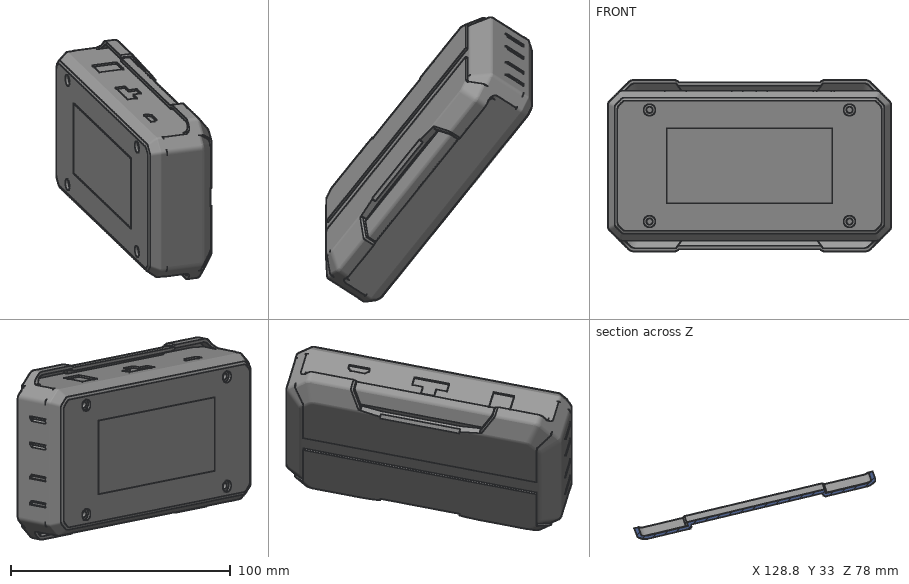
import cadquery as cq
import math

half_x = 64.4
half_z = 39.0
front_y = -16.5
back_y = 16.5
corner_sum = 93.0
corner_radius = 3.3
shoulder_radius = 1.7
back_radius = 2.0
far = 257.5

seam_y = -8.8
bezel_half_z = 34.0
bezel_radius = 1.9
bezel_edge_radius = 0.8
bezel_shoulder_y = -11.7
bezel_rim_y = -15.8
bezel_rim_inset = 3.1
bezel_face_inset = 4.4

slope_run = 1.25
pad_shoulder_y = 10.3
base_shoulder_y = 9.0
pad_height = 1.0
base_half_z = half_z - pad_height
base_back_y = back_y - pad_height
groove_half_z = 4.4

notch_mouth_x = 33.0
notch_inner_x = 27.8
notch_inner_z = 31.9
notch_floor_x = 18.5
notch_floor_z = 30.6
notch_shelf_y = 13.1
rim_bevel = 0.8
floor_bevel_y = 14.8
floor_bevel_z = 1.2
side_mouth_x = 60.0
side_mouth_z = 33.0
side_floor_x = 54.6
side_floor_z = 28.3

recess_half_z = bezel_half_z
lip_y = 4.8
recess_radius = 2.8
lip_wall = 1.5

screen_x, screen_z, screen_depth = 75.2, 34.1, 0.3
screw_x, screw_z = 45.5, 25.4
head_diameter, head_depth = 5.3, 1.5
screw_diameter, screw_depth = 2.8, 5.1

port_y = -7.1
port_depth = 0.9
power_left, power_right = -38.5, -28.8
plug_half_width, plug_top = 8.1, -2.5
latch_half_width, latch_top = 3.1, 1.4
usb_left, usb_right, usb_top, usb_corner = 29.0, 38.6, -3.7, 1.5

vent_edges = (20.5, 8.4)
vent_width = 2.0
vent_floor_width = 1.2
vent_end_y = 1.2
vent_corner = 1.4
vent_depth = 1.0


def octagon(y, half_height, inset=0.0, radius=corner_radius):
    """Face at depth y: octagon with rounded 45 degree corners, moved inward by inset."""
    x = half_x - inset
    z = half_height - inset
    total = corner_sum - inset * math.sqrt(2)
    points = [(x, total - x), (total - z, z), (z - total, z), (-x, total - x),
              (-x, x - total), (z - total, -z), (total - z, -z), (x, x - total)]
    sketch = cq.Sketch().polygon(points + points[:1]).vertices().fillet(radius)
    return cq.Workplane("XZ", origin=(0, y, 0)).placeSketch(sketch)


def prism(y_start, y_end, half_height, radius=corner_radius):
    """Straight octagon between two depths."""
    return octagon(y_start, half_height, 0.0, radius).extrude(y_start - y_end)


def frustum(y_wide, y_narrow, half_height, inset_wide, inset_narrow, radius=corner_radius):
    """Tapered octagon between two depths."""
    wide = octagon(y_wide, half_height, inset_wide, radius)
    narrow = octagon(y_narrow, half_height, inset_narrow, radius)
    wires = [rim.extrude(-1.3).faces("<Y").wires().val() for rim in (wide, narrow)]
    return cq.Workplane(cq.Solid.makeLoft(wires, True))


def shell(half_height, shoulder, back):
    """Solid rear shell from the seam to the back, straight and then sloping inward."""
    slope = frustum(shoulder, back, half_height, 0.0, (back - shoulder) * slope_run)
    solid = prism(seam_y, shoulder, half_height).union(slope)
    shoulder_box = cq.selectors.BoxSelector(
        (-far, shoulder - 0.1, -far), (far, shoulder + 0.1, far), boundingbox=True)
    return solid.edges(shoulder_box).fillet(shoulder_radius).faces(">Y").edges().fillet(back_radius)


def inner_space(half_height, shoulder, back):
    """Space inside the shell that leaves a wall of constant thickness."""
    inner_shoulder = shoulder - lip_wall * (math.hypot(1, slope_run) - 1) / slope_run
    inner_inset = lip_wall + (back - inner_shoulder) * slope_run
    slope = frustum(inner_shoulder, back, half_height, lip_wall, inner_inset)
    return octagon(seam_y, half_height, lip_wall).extrude(seam_y - inner_shoulder).union(slope)


def bezel():
    """Front cover with a wide bevel and a shallow rim around its face."""
    radius = bezel_radius
    solid = prism(bezel_shoulder_y, seam_y, bezel_half_z, radius)
    solid = solid.union(frustum(bezel_shoulder_y, bezel_rim_y, bezel_half_z, 0.0, bezel_rim_inset, radius))
    shoulder_box = cq.selectors.BoxSelector(
        (-far, bezel_shoulder_y - 0.1, -far), (far, bezel_shoulder_y + 0.1, far), boundingbox=True)
    solid = solid.edges(shoulder_box).fillet(bezel_edge_radius)
    return solid.union(
        frustum(bezel_rim_y, front_y, bezel_half_z, bezel_rim_inset, bezel_face_inset, radius))


def notch_side(margin=0.0):
    """Right-hand outline of the notch from its mouth to its floor, widened by margin."""
    return [(notch_mouth_x + margin, half_z + 1.3), (notch_mouth_x + margin, half_z),
            (notch_inner_x + margin, notch_inner_z), (notch_floor_x, notch_floor_z)]


def mirrored(right):
    """Closed outline from its right half."""
    return right + [(-x, z) for x, z in reversed(right)]


def pad_region(margin=0.0):
    """Full-thickness prism over the raised pad on the +Z half."""
    pad_side = [(half_x, half_z + 1.3), (side_mouth_x + 1.3, side_mouth_z + 1.3), (side_mouth_x, side_mouth_z),
                (side_floor_x, side_floor_z), (side_floor_x, groove_half_z)]
    outline = mirrored(notch_side(margin)[::-1] + pad_side)
    return cq.Workplane("XZ", origin=(0, seam_y, 0)).polyline(outline).close().extrude(seam_y - back_y)


def notch_shelf():
    """Space above the flat shelf at the inner end of the +Z notch."""
    shelf = cq.Workplane("XZ", origin=(0, notch_shelf_y, 0)).polyline(mirrored(notch_side())).close()
    return shelf.extrude(notch_shelf_y - far)


def bevel_notch_rim(pad):
    """Bevel the outer rim of the notch sides, from the lip up to the back."""
    def on_rim(edge):
        middle = edge.Center()
        beside_notch = notch_inner_x + 0.1 < abs(middle.x) < notch_mouth_x + 0.1
        return beside_notch and abs(middle.z) > notch_inner_z + 0.1 and middle.y > seam_y + 0.1
    return pad.newObject([edge for edge in pad.edges().vals() if on_rim(edge)]).chamfer(rim_bevel)


def notch_floor_bevel():
    """Wedge that bevels the straight rim between the +Z notch and the back."""
    wedge = [(floor_bevel_y, notch_floor_z), (back_y, notch_floor_z), (back_y, notch_floor_z - floor_bevel_z)]
    profile = cq.Workplane("YZ", origin=(-notch_floor_x, 0, 0)).polyline(wedge).close()
    return profile.extrude(2 * notch_floor_x)


def side_recess():
    """Recess along the +Z side with a concave round up to the lip."""
    round_y = lip_y - recess_radius
    round_z = recess_half_z + recess_radius
    bend = recess_radius * math.sqrt(0.5)
    profile = (cq.Workplane("YZ", origin=(-far / 2, 0, 0))
               .moveTo(seam_y, recess_half_z).lineTo(round_y, recess_half_z)
               .threePointArc((round_y + bend, round_z - bend), (lip_y, round_z))
               .lineTo(lip_y, far).lineTo(seam_y, far).close())
    return profile.extrude(far)


def port(points):
    """Shallow pocket in the +Z wall with the given (x, y) outline."""
    floor = cq.Workplane("XY", origin=(0, 0, recess_half_z - port_depth))
    return floor.polyline(points).close().extrude(port_depth)


def rectangle(left, right, bottom, top):
    return [(left, bottom), (right, bottom), (right, top), (left, top)]


def vent(edge):
    """Slot in the -X wall with a sloped side towards Z = 0 and a cut-off end corner."""
    outlines = []
    for x, width in ((-half_x, vent_width), (-half_x + vent_depth, vent_floor_width)):
        points = [(seam_y, edge), (vent_end_y, edge), (vent_end_y, edge - vent_floor_width / 2),
                  (vent_end_y - vent_corner, edge - width), (seam_y, edge - width)]
        outlines.append(cq.Wire.makePolygon([cq.Vector(x, y, z) for y, z in points], close=True))
    return cq.Workplane(cq.Solid.makeLoft(outlines, True))


def both_sides(solid):
    return solid.union(solid.mirror("XY"))


pads = both_sides(pad_region())
inner_pads = both_sides(pad_region(lip_wall))
base = shell(base_half_z, base_shoulder_y, base_back_y)
base = base.cut(both_sides(notch_shelf())).cut(both_sides(notch_floor_bevel()))
raised = bevel_notch_rim(shell(half_z, pad_shoulder_y, back_y).intersect(pads))
raised = raised.cut(both_sides(notch_floor_bevel()))
space = inner_space(base_half_z, base_shoulder_y, base_back_y)
space = space.union(inner_space(half_z, pad_shoulder_y, back_y).intersect(inner_pads))
beside_recess = cq.Workplane().box(far, far, far).translate((0, 0, recess_half_z + far / 2))
rear = base.union(raised).cut(both_sides(side_recess())).cut(both_sides(space.intersect(beside_recess)))

port_outlines = [
    rectangle(power_left, power_right, seam_y, lip_y),
    rectangle(-plug_half_width, plug_half_width, seam_y, plug_top),
    rectangle(-latch_half_width, latch_half_width, plug_top, latch_top),
    [(usb_left, seam_y), (usb_right, seam_y), (usb_right, usb_top - usb_corner),
     (usb_right - usb_corner, usb_top), (usb_left + usb_corner, usb_top), (usb_left, usb_top - usb_corner)],
]
for outline in port_outlines:
    rear = rear.cut(port(outline))

for vent_edge in vent_edges:
    rear = rear.cut(both_sides(vent(vent_edge)))

front = bezel()
for left, right in ((power_left, power_right), (-plug_half_width, plug_half_width), (usb_left, usb_right)):
    front = front.union(port(rectangle(left, right, seam_y, port_y)))
face = cq.Workplane("XZ", origin=(0, front_y, 0))
front = front.cut(face.rect(screen_x, screen_z).extrude(-screen_depth))
screws = face.rect(2 * screw_x, 2 * screw_z, forConstruction=True).vertices()
front = front.cut(screws.circle(head_diameter / 2).extrude(-head_depth))
front = front.cut(screws.circle(screw_diameter / 2).extrude(-screw_depth))

result = rear.union(front, clean=False)